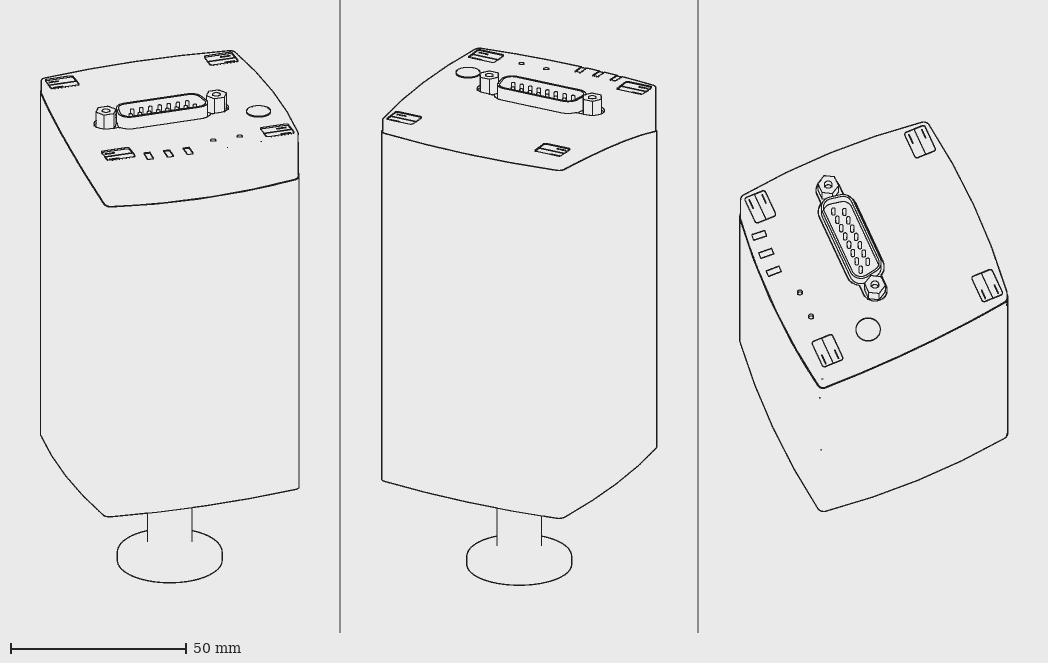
import cadquery as cq
import math

width_x = 63.0
width_y = 62.8
side_bulge = 2.0
corner_radius = 2.0
housing_bottom = 31.5
housing_top = 144.0

cap_inset = 0.22
cap_edge_radius = 0.3
seam_drop_high = 3.9
seam_drop_low = 14.8

stem_diameter = 12.7
flange_diameter = 30.0
flange_rim_height = 3.0
flange_rim_radius = 0.9
flange_cone_angle = 15
stem_root_radius = 0.9

connector_x = 5.0
connector_y = -4.3
recess_depth = 0.9
recess_gap = 0.9
shell_width = 9.5
shell_short_side = 24.6
shell_end_angle = 10
shell_corner_radius = 3.3
shell_wall = 0.6
shell_top = 147.2
pin_diameter = 1.0
pin_length = 3.5
pin_tip_radius = 0.3
pin_row_spacing = 2.8
pins_short_row = 7
long_row_length = 19.4
pin_pitch = long_row_length / pins_short_row

jackscrew_spacing = 33.3
jackscrew_flats = 5.2
jackscrew_hole_diameter = 2.2
jackscrew_hole_depth = 3.0
drill_point_angle = 118
jackscrew_slot_width = 7.0
overall_height = 148.1

button_x = 11.7
button_y = 22.8
button_diameter = 7.0
button_rim_height = 0.3
button_dome_height = 0.7
led_x = 25.0
led_y_places = (4.6, 12.6)
led_diameter = 1.5
led_depth = 1.5
notch_y_places = (-4.5, -10.4, -16.3)
notch_width = 1.8
notch_length = 4.1
notch_depth = 0.3
pocket_x = 24.9
pocket_y = 24.0
pocket_width = 6.4
pocket_length = 8.5
pocket_corner_radius = 0.7
pocket_depth = 0.3
pocket_step = 0.1
slit_spacing = 4.0
slit_width = 0.1
slit_length = 2.8
slit_end_gap = 0.9

recess_floor = housing_top - recess_depth


def bowed_prism(inset, bottom, top):
    """Prism with four bowed sides, each set in by the given amount."""
    mid_x = width_x / 2 - inset
    mid_y = width_y / 2 - inset
    corner_x = mid_x - side_bulge
    corner_y = mid_y - side_bulge
    return (
        cq.Workplane("XY", origin=(0, 0, bottom))
        .moveTo(-corner_x, -corner_y)
        .threePointArc((0, -mid_y), (corner_x, -corner_y))
        .threePointArc((mid_x, 0), (corner_x, corner_y))
        .threePointArc((0, mid_y), (-corner_x, corner_y))
        .threePointArc((-mid_x, 0), (-corner_x, -corner_y))
        .close()
        .extrude(top - bottom)
        .edges("|Z")
        .fillet(corner_radius - inset)
    )


def below_seam():
    """Solid under the seam, which is an arc, level at its -X end and falling toward +X."""
    half = width_x / 2
    fall = seam_drop_low - seam_drop_high
    arc_radius = (width_x**2 + fall**2) / (2 * fall)
    high_z = housing_top - seam_drop_high
    mid_z = high_z - arc_radius + math.sqrt(arc_radius**2 - half**2)
    return (
        cq.Workplane("XZ")
        .moveTo(-half, housing_bottom)
        .lineTo(half, housing_bottom)
        .lineTo(half, housing_top - seam_drop_low)
        .threePointArc((0, mid_z), (-half, high_z))
        .close()
        .extrude(width_y / 2, both=True)
    )


def housing():
    body = bowed_prism(0, housing_bottom, housing_top).intersect(below_seam())
    cap = bowed_prism(cap_inset, housing_bottom, housing_top)
    return body.union(cap.faces(">Z").edges().fillet(cap_edge_radius))


def stem_and_flange():
    stem_r = stem_diameter / 2
    rim_r = flange_diameter / 2
    cone_top = flange_rim_height + (rim_r - stem_r) * math.tan(math.radians(flange_cone_angle))
    turned = (
        cq.Workplane("XZ")
        .polyline([
            (0, 0),
            (rim_r, 0),
            (rim_r, flange_rim_height),
            (stem_r, cone_top),
            (stem_r, housing_bottom),
            (0, housing_bottom),
        ])
        .close()
        .revolve(360, (0, 0), (0, 1))
    )
    rim_edge = cq.selectors.NearestToPointSelector((0, 0, flange_rim_height))
    root_edge = cq.selectors.NearestToPointSelector((0, 0, cone_top))
    return turned.edges(rim_edge).fillet(flange_rim_radius).edges(root_edge).fillet(stem_root_radius)


def d_prism(offset, bottom, top):
    """D-shaped prism, grown from the outside of the shell by the offset; the short side faces -X."""
    angle = math.radians(shell_end_angle)
    half_width = shell_width / 2 + offset
    middle_half = shell_short_side / 2 + shell_width / 2 * math.tan(angle) + offset / math.cos(angle)
    short_half = middle_half - half_width * math.tan(angle)
    long_half = middle_half + half_width * math.tan(angle)
    prism = (
        cq.Workplane("XY", origin=(connector_x, connector_y, bottom))
        .polyline([
            (-half_width, -short_half),
            (half_width, -long_half),
            (half_width, long_half),
            (-half_width, short_half),
        ])
        .close()
        .extrude(top - bottom)
    )
    return prism.edges("|Z").fillet(shell_corner_radius + offset)


def connector_recess():
    slot = (
        cq.Workplane("XY", origin=(connector_x, connector_y, recess_floor))
        .slot2D(jackscrew_spacing + jackscrew_slot_width, jackscrew_slot_width, 90)
        .extrude(recess_depth)
    )
    return slot.union(d_prism(recess_gap, recess_floor, housing_top))


def connector_shell():
    inside = d_prism(-shell_wall, recess_floor, shell_top)
    return d_prism(0, recess_floor, shell_top).cut(inside)


def connector_pins():
    rows = ((-1, pins_short_row), (1, pins_short_row + 1))
    places = [
        (side * pin_row_spacing / 2, (i - (count - 1) / 2) * pin_pitch)
        for side, count in rows
        for i in range(count)
    ]
    return (
        cq.Workplane("XY", origin=(connector_x, connector_y, recess_floor))
        .pushPoints(places)
        .circle(pin_diameter / 2)
        .extrude(pin_length)
        .faces(">Z")
        .edges()
        .fillet(pin_tip_radius)
    )


def jackscrews():
    across_corners = jackscrew_flats / math.cos(math.radians(30))
    ends = [(-jackscrew_spacing / 2, 0), (jackscrew_spacing / 2, 0)]
    plane = cq.Plane(origin=(connector_x, connector_y, recess_floor), xDir=(0, 1, 0), normal=(0, 0, 1))
    screws = (
        cq.Workplane(plane)
        .pushPoints(ends)
        .polygon(6, across_corners)
        .extrude(overall_height - recess_floor)
    )
    hole_r = jackscrew_hole_diameter / 2
    hole_end = overall_height - jackscrew_hole_depth
    point_depth = hole_r / math.tan(math.radians(drill_point_angle / 2))
    hole = (
        cq.Workplane("XZ")
        .polyline([
            (0, overall_height),
            (hole_r, overall_height),
            (hole_r, hole_end),
            (0, hole_end - point_depth),
        ])
        .close()
        .revolve(360, (0, 0), (0, 1))
    )
    for along, _ in ends:
        screws = screws.cut(hole.translate((connector_x, connector_y + along, 0)))
    return screws


def button():
    """Low domed button on a short cylindrical rim."""
    rim_r = button_diameter / 2
    dome_top = button_rim_height + button_dome_height
    dome_radius = (rim_r**2 + button_dome_height**2) / (2 * button_dome_height)
    half_r = rim_r / 2
    half_z = dome_top - dome_radius + math.sqrt(dome_radius**2 - half_r**2)
    return (
        cq.Workplane("XZ")
        .lineTo(rim_r, 0)
        .lineTo(rim_r, button_rim_height)
        .threePointArc((half_r, half_z), (0, dome_top))
        .close()
        .revolve(360, (0, 0), (0, 1))
        .translate((button_x, button_y, housing_top))
    )


def led_holes():
    return (
        cq.Workplane("XY", origin=(0, 0, housing_top - led_depth))
        .pushPoints([(led_x, y) for y in led_y_places])
        .circle(led_diameter / 2)
        .extrude(led_depth)
    )


def edge_notches():
    """Shallow notches across the +X top edge, fanned square to its bow."""
    corner_y = width_y / 2 - side_bulge
    bow_radius = (corner_y**2 + side_bulge**2) / (2 * side_bulge)
    bow_center_x = width_x / 2 - bow_radius
    notch = cq.Workplane("XY").box(2 * notch_length, notch_width, 2 * notch_depth)
    notches = cq.Workplane("XY")
    for y in notch_y_places:
        turn = math.degrees(math.asin(y / bow_radius))
        placed = notch.translate((bow_radius, 0, housing_top)).rotate((0, 0, 0), (0, 0, 1), turn)
        notches = notches.add(placed.translate((bow_center_x, 0, 0)))
    return notches.combine()


def corner_pockets():
    """Shallow pockets near the four corners, stepped along the middle, with two fine slits each."""
    places = [(sx * pocket_x, sy * pocket_y) for sx in (-1, 1) for sy in (-1, 1)]
    deep = pocket_depth + pocket_step
    pockets = (
        cq.Workplane("XY", origin=(0, 0, housing_top - deep))
        .pushPoints(places)
        .rect(pocket_width, pocket_length)
        .extrude(deep)
        .edges("|Z")
        .fillet(pocket_corner_radius)
    )
    raised_floors = (
        cq.Workplane("XY", origin=(pocket_width / 2, 0, housing_top - deep))
        .pushPoints(places)
        .rect(pocket_width, pocket_length)
        .extrude(pocket_step)
    )
    slit_offset = (pocket_length - slit_length) / 2 - slit_end_gap
    slit_places = [
        (x + side * slit_spacing / 2, y + math.copysign(slit_offset, y))
        for x, y in places
        for side in (-1, 1)
    ]
    slits = (
        cq.Workplane("XY", origin=(0, 0, housing_top - deep - pocket_step))
        .pushPoints(slit_places)
        .rect(slit_width, slit_length)
        .extrude(deep + pocket_step)
    )
    return pockets.cut(raised_floors).union(slits)


result = (
    housing()
    .union(stem_and_flange())
    .cut(connector_recess())
    .cut(led_holes())
    .cut(edge_notches())
    .cut(corner_pockets())
    .union(connector_shell())
    .union(connector_pins())
    .union(jackscrews())
    .union(button())
)